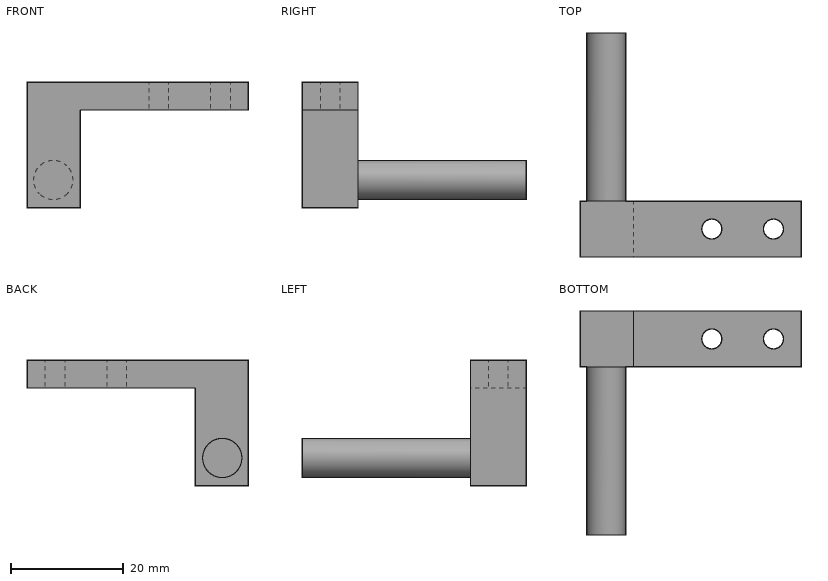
import cadquery as cq

bracket_length = 39.5
bracket_height = 22.5
bracket_depth = 10.0
arm_thickness = 5.0
leg_width = 9.5

pin_diameter = 7.0
pin_length = 30.0
pin_center_x = 4.7
pin_center_z = 5.0

hole_diameter = 3.5
hole_spacing = 11.0
hole_end_distance = 5.0
hole_count = 2


def make_bracket():
    """Vertical leg with a horizontal arm flush with its top."""
    leg = cq.Workplane("XY").box(leg_width, bracket_depth, bracket_height, centered=False)
    arm = (
        cq.Workplane("XY", origin=(0, 0, bracket_height - arm_thickness))
        .box(bracket_length, bracket_depth, arm_thickness, centered=False)
    )
    return leg.union(arm)


def make_pin():
    """Cylinder pointing along +Y from the back of the leg."""
    base = cq.Vector(pin_center_x, bracket_depth, pin_center_z)
    return cq.Workplane(cq.Solid.makeCylinder(pin_diameter / 2, pin_length, base, cq.Vector(0, 1, 0)))


def make_arm_holes():
    """Vertical cutters in a row along the middle of the arm, starting near its free end."""
    centers = [
        (bracket_length - hole_end_distance - index * hole_spacing, bracket_depth / 2)
        for index in range(hole_count)
    ]
    return (
        cq.Workplane("XY", origin=(0, 0, bracket_height - arm_thickness))
        .pushPoints(centers)
        .circle(hole_diameter / 2)
        .extrude(arm_thickness)
    )


result = make_bracket().union(make_pin()).cut(make_arm_holes())